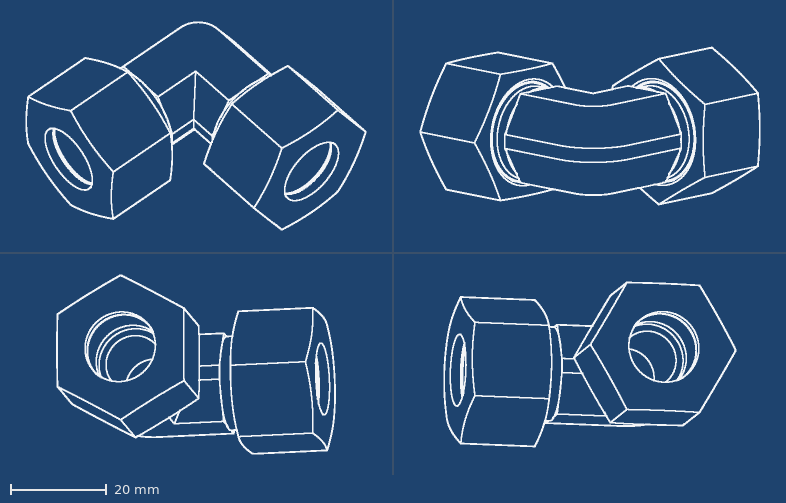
import cadquery as cq
import math


COLLAR_START = 16.0
FLARE_START = 18.55
NUT_START = 19.0
TUBE_STOP = 21.0
ARM_END = 28.0
NUT_END = 36.0
NUT_SEAT_END = 33.75
RING_END = 33.35

BODY_ACROSS_FLATS = 19.0
BODY_HALF_WIDTH = 10.1
COLLAR_RADIUS = 9.85
THREAD_RADIUS = 10.4
FLARE_ANGLE = 30.0
BORE_RADIUS = 6.0
DRILL_POINT_ANGLE = 120.0

TUBE_RADIUS = 7.5
SOCKET_MOUTH_RADIUS = 8.65
SOCKET_HALF_ANGLE = 12.0
RING_START = 24.0
RING_BACK_RADIUS = 8.2

NUT_ACROSS_FLATS = 27.0
NUT_THREAD_RADIUS = 10.65
NUT_MOUTH_RADIUS = 11.3
NUT_MOUTH_ANGLE = 60.0
NUT_CHAMFER_ANGLE = 15.0
NUT_BLANK_ALLOWANCE = 1.0


def tan_deg(angle):
    return math.tan(math.radians(angle))


def across_corners(across_flats):
    return across_flats / math.cos(math.radians(30))


def revolve_about_x(points):
    """Solid of revolution about X from (distance along X, radius) points."""
    return cq.Workplane("XY").polyline(points).close().revolve(360, (0, 0, 0), (1, 0, 0))


def place_on_y_arm(shape):
    return shape.rotate((0, 0, 0), (0, 0, 1), -90)


SOCKET_SLOPE = tan_deg(SOCKET_HALF_ANGLE)
SOCKET_CONE_START = ARM_END - (SOCKET_MOUTH_RADIUS - TUBE_RADIUS) / SOCKET_SLOPE


def seat_station(radius):
    """Station where the 45 degree cone shared by nut seat and ring has this radius."""
    return RING_END + RING_BACK_RADIUS - radius


def arm_block():
    """Hexagonal bar along +X with its two side corners cut to flats."""
    half_height = BODY_ACROSS_FLATS / 2
    hexagon = (
        cq.Workplane("YZ")
        .polygon(6, across_corners(BODY_ACROSS_FLATS))
        .extrude(COLLAR_START)
    )
    side_limit = cq.Workplane("YZ").rect(2 * BODY_HALF_WIDTH, 2 * half_height).extrude(COLLAR_START)
    return hexagon.intersect(side_limit)


def arm_spigot():
    """Round collar flaring out to the threaded end."""
    flare_end = FLARE_START + (THREAD_RADIUS - COLLAR_RADIUS) / tan_deg(FLARE_ANGLE)
    return revolve_about_x([
        (COLLAR_START, 0),
        (COLLAR_START, COLLAR_RADIUS),
        (FLARE_START, COLLAR_RADIUS),
        (flare_end, THREAD_RADIUS),
        (ARM_END, THREAD_RADIUS),
        (ARM_END, 0),
    ])


def outer_corner():
    """The bar section swept round the Z axis to form the rounded outer corner."""
    half_height = BODY_ACROSS_FLATS / 2
    top_half_width = across_corners(BODY_ACROSS_FLATS) / 4
    side_half_height = half_height - (BODY_HALF_WIDTH - top_half_width) * tan_deg(60)
    return (
        cq.Workplane("XZ")
        .polyline([
            (0, -half_height),
            (top_half_width, -half_height),
            (BODY_HALF_WIDTH, -side_half_height),
            (BODY_HALF_WIDTH, side_half_height),
            (top_half_width, half_height),
            (0, half_height),
        ])
        .close()
        .revolve(360, (0, 0, 0), (0, 1, 0))
    )


def arm_bore():
    """Drilled bore with a conical point past the centre, and the tube socket."""
    point_length = BORE_RADIUS / tan_deg(DRILL_POINT_ANGLE / 2)
    return revolve_about_x([
        (-point_length, 0),
        (0, BORE_RADIUS),
        (TUBE_STOP, BORE_RADIUS),
        (TUBE_STOP, TUBE_RADIUS),
        (SOCKET_CONE_START, TUBE_RADIUS),
        (ARM_END, SOCKET_MOUTH_RADIUS),
        (ARM_END, 0),
    ])


def make_elbow():
    arm = arm_block().union(arm_spigot())
    bore = arm_bore()
    solid = outer_corner().union(arm).union(place_on_y_arm(arm))
    return solid.cut(bore).cut(place_on_y_arm(bore))


def make_ring():
    """Ring on the +X arm, seated in the socket cone and bearing on the nut's seat."""
    front_radius = TUBE_RADIUS + (RING_START - SOCKET_CONE_START) * SOCKET_SLOPE
    return revolve_about_x([
        (RING_START, TUBE_RADIUS),
        (RING_START, front_radius),
        (ARM_END, SOCKET_MOUTH_RADIUS),
        (ARM_END, THREAD_RADIUS),
        (seat_station(THREAD_RADIUS), THREAD_RADIUS),
        (RING_END, RING_BACK_RADIUS),
        (RING_END, TUBE_RADIUS),
    ])


def nut_chamfer_envelope():
    """Round blank whose conical ends take the corners off the hexagon."""
    flat_radius = NUT_ACROSS_FLATS / 2
    corner_radius = across_corners(NUT_ACROSS_FLATS) / 2
    outside_radius = corner_radius + NUT_BLANK_ALLOWANCE
    setback = (outside_radius - flat_radius) * tan_deg(NUT_CHAMFER_ANGLE)
    return revolve_about_x([
        (NUT_START, 0),
        (NUT_START, flat_radius),
        (NUT_START + setback, outside_radius),
        (NUT_END - setback, outside_radius),
        (NUT_END, flat_radius),
        (NUT_END, 0),
    ])


def nut_cavity():
    """Mouth chamfer, threaded bore, 45 degree seat and tube hole."""
    mouth_depth = (NUT_MOUTH_RADIUS - NUT_THREAD_RADIUS) / tan_deg(NUT_MOUTH_ANGLE)
    seat_end_radius = RING_BACK_RADIUS - (NUT_SEAT_END - RING_END)
    return revolve_about_x([
        (NUT_START, 0),
        (NUT_START, NUT_MOUTH_RADIUS),
        (NUT_START + mouth_depth, NUT_THREAD_RADIUS),
        (seat_station(NUT_THREAD_RADIUS), NUT_THREAD_RADIUS),
        (NUT_SEAT_END, seat_end_radius),
        (NUT_SEAT_END, TUBE_RADIUS),
        (NUT_END, TUBE_RADIUS),
        (NUT_END, 0),
    ])


def make_nut(turn):
    """Nut on the +X arm, turned about its axis from having corners at +Y and -Y."""
    hexagon = (
        cq.Workplane("YZ", origin=(NUT_START, 0, 0))
        .polygon(6, across_corners(NUT_ACROSS_FLATS))
        .extrude(NUT_END - NUT_START)
    )
    nut = hexagon.intersect(nut_chamfer_envelope()).cut(nut_cavity())
    return nut.rotate((0, 0, 0), (1, 0, 0), turn)


elbow = make_elbow()

rings = [make_ring(), place_on_y_arm(make_ring())]

nuts = [make_nut(0), place_on_y_arm(make_nut(90))]

result = cq.Compound.makeCompound(
    [elbow.val()] + [ring.val() for ring in rings] + [nut.val() for nut in nuts]
)